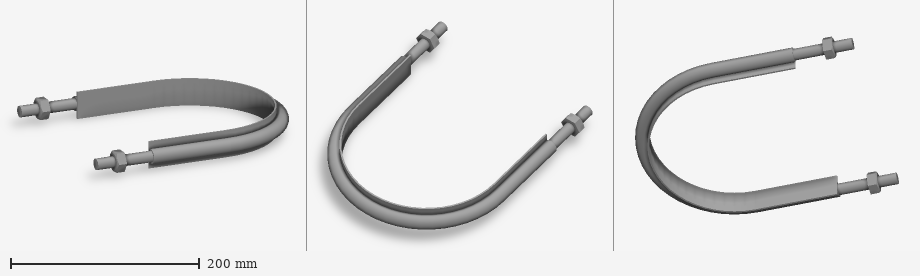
import cadquery as cq
import math

total_length = 259.0
total_width = 219.2
rod_diameter = 12.5

sleeve_diameter = 15.8
band_height = 30.0
band_thickness = 1.8
band_inner_offset = 7.0
bare_leg_length = 64.2

nut_corner_width = 24.5
nut_thickness = 10.5
nut_end_gap = 20.2
nut_face_diameter = 19.2
nut_chamfer_angle = 30.0

leg_x = (total_width - nut_corner_width) / 2
bend_radius = leg_x
rod_end_y = bend_radius + sleeve_diameter / 2 - total_length
lining_end_y = rod_end_y + bare_leg_length
nut_face_y = rod_end_y + nut_end_gap


def u_path(end_y):
    """Centre line of the rod: leg, half-circle bend, leg."""
    return (
        cq.Workplane("XY")
        .moveTo(-leg_x, end_y)
        .lineTo(-leg_x, 0)
        .threePointArc((0, bend_radius), (leg_x, 0))
        .lineTo(leg_x, end_y)
    )


def u_bar(diameter, end_y):
    """Round bar following the U-shaped centre line."""
    section = cq.Workplane("XZ", origin=(-leg_x, end_y, 0)).circle(diameter / 2)
    return section.sweep(u_path(end_y))


def u_plate(radius):
    """Solid U-shaped plate as tall as the band, bounded by the given half-width."""
    return (
        cq.Workplane("XY")
        .moveTo(-radius, lining_end_y)
        .lineTo(-radius, 0)
        .threePointArc((0, radius), (radius, 0))
        .lineTo(radius, lining_end_y)
        .close()
        .extrude(band_height / 2, both=True)
    )


def make_rod():
    return u_bar(rod_diameter, rod_end_y)


def make_lining(rod):
    """Sleeve and band in one piece, hollowed to fit the rod."""
    inner_radius = bend_radius - band_inner_offset
    opening = u_plate(inner_radius)
    band = u_plate(inner_radius + band_thickness).cut(opening)
    sleeve = u_bar(sleeve_diameter, lining_end_y).cut(opening)
    return band.union(sleeve).cut(rod).solids()


def make_nut(x):
    """Hex nut with corners along X, chamfered on the face toward the rod end."""
    back_y = nut_face_y + nut_thickness
    blank = (
        cq.Workplane("XZ", origin=(x, back_y, 0))
        .polygon(6, nut_corner_width)
        .extrude(nut_thickness)
    )
    face_radius = nut_face_diameter / 2
    corner_radius = nut_corner_width / 2
    chamfer_depth = (corner_radius - face_radius) * math.tan(math.radians(nut_chamfer_angle))
    envelope = (
        cq.Workplane("XY", origin=(x, nut_face_y, 0))
        .polyline([
            (0, 0),
            (face_radius, 0),
            (corner_radius, chamfer_depth),
            (corner_radius, nut_thickness),
            (0, nut_thickness),
        ])
        .close()
        .revolve(360, (0, 0), (0, 1))
    )
    bore = (
        cq.Workplane("XZ", origin=(x, back_y, 0))
        .circle(rod_diameter / 2)
        .extrude(nut_thickness)
    )
    return blank.intersect(envelope).cut(bore).solids()


rod = make_rod()
lining = make_lining(rod)
nuts = [make_nut(side * leg_x) for side in (-1, 1)]

result = cq.Compound.makeCompound([rod.val(), lining.val(), *[nut.val() for nut in nuts]])